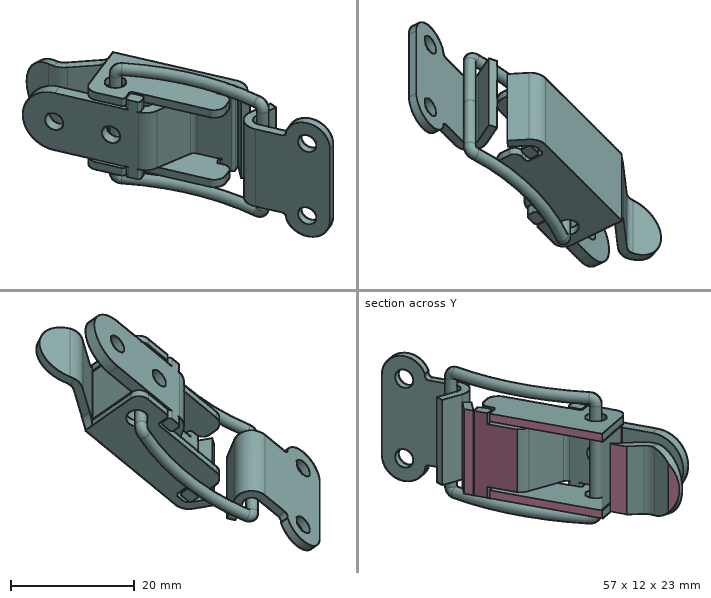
import cadquery as cq
import math


overall_length = 57.0
overall_height = 12.0
latch_width = 15.0
screw_hole_diameter = 3.2
past_everything = 2 * overall_length

lever_sheet = 1.5
lever_bend_radius = 1.5
channel_start = 13.95
channel_end = 36.9
channel_inner_width = latch_width - 2 * lever_sheet
flange_corner_radius = 2.0
flange_tip_radius = 1.5
flange_relief_radius = 0.5
flange_lower_edge = 2.45
pivot_step_x = 21.0
slot_start = 34.05
slot_bottom = 7.3
lip_bend_start = 35.55
lip_bend_angle = 60
lip_length = 3.55
end_wall_recess = 0.05
end_wall_thickness = 0.1
bail_hole_diameter = 3.5
bail_hole_x = 17.7
bail_hole_y = 4.05
handle_bend_start = 14.4
handle_drop_angle = 30
handle_drop_length = 6.55
grip_rise_angle = 25
grip_bend_radius = 2.0

base_sheet = 2.0
base_bend_radius = 1.0
base_start = 3.15
base_width = 11.1
base_hole_xs = (8.65, 18.65)
strap_bend_start = 23.35
strap_bend_angle = 60
strap_rise = 8.0
tab_length = 2.55
tab_corner_radius = 0.5
lower_tab_start = 21.15
upper_tab_start = 34.3

keeper_sheet = 1.5
keeper_bend_radius = 1.5
keeper_bend_angle = 120
hook_length = 4.0
keeper_bend_end = 43.9
ear_radius = 4.0
ear_spacing = 14.0
ear_neck_radius = 0.7
ear_neck_x = 49.3
ear_x = overall_length - ear_radius

wire_diameter = 2.0
bail_width = 23.0
bail_elbow_radius = 1.0
bail_lever_end = (18.0, 3.5)
bail_keeper_end = (44.0, 2.95)
bail_end_tilt = 17


def sine(degrees):
    return math.sin(math.radians(degrees))


def cosine(degrees):
    return math.cos(math.radians(degrees))


def rotate_about(point, centre, degrees):
    dx = point[0] - centre[0]
    dy = point[1] - centre[1]
    return (
        centre[0] + dx * cosine(degrees) - dy * sine(degrees),
        centre[1] + dx * sine(degrees) + dy * cosine(degrees),
    )


def bent_strip(start, heading, steps, sheet, width):
    """Folded sheet strip, extruded evenly about Z = 0.

    start is on the right-hand face. A step is (length,) for a straight run or
    (angle, inside radius) for a bend, with left turns positive.
    """
    right = start
    left = (start[0] - sheet * sine(heading), start[1] + sheet * cosine(heading))
    outline = cq.Workplane("XY").moveTo(*right)
    way_back = []
    for step in steps:
        if len(step) == 1:
            dx = step[0] * cosine(heading)
            dy = step[0] * sine(heading)
            way_back.append((left, None))
            right = (right[0] + dx, right[1] + dy)
            left = (left[0] + dx, left[1] + dy)
            outline = outline.lineTo(*right)
            continue
        angle, radius = step
        inside, side = (left, 1) if angle > 0 else (right, -1)
        centre = (
            inside[0] - side * radius * sine(heading),
            inside[1] + side * radius * cosine(heading),
        )
        way_back.append((left, rotate_about(left, centre, angle / 2)))
        outline = outline.threePointArc(
            rotate_about(right, centre, angle / 2), rotate_about(right, centre, angle)
        )
        right = rotate_about(right, centre, angle)
        left = rotate_about(left, centre, angle)
        heading += angle
    outline = outline.lineTo(*left)
    for point, arc_middle in reversed(way_back):
        if arc_middle is None:
            outline = outline.lineTo(*point)
        else:
            outline = outline.threePointArc(arc_middle, point)
    return outline.close().extrude(width / 2, both=True)


def rounded_polygon(corners):
    """Closed XY outline from (x, y, radius) corners; the first corner is sharp."""
    outline = cq.Workplane("XY").moveTo(*corners[0][:2])
    for index in range(1, len(corners)):
        x, y, radius = corners[index]
        if radius == 0:
            outline = outline.lineTo(x, y)
            continue
        before = cq.Vector(*corners[index - 1][:2])
        after = cq.Vector(*corners[(index + 1) % len(corners)][:2])
        corner = cq.Vector(x, y)
        to_before = (before - corner).normalized()
        to_after = (after - corner).normalized()
        half_angle = to_before.getAngle(to_after) / 2
        setback = radius / math.tan(half_angle)
        bisector = (to_before + to_after).normalized()
        arc_middle = corner + bisector * (radius / math.sin(half_angle) - radius)
        arc_start = corner + to_before * setback
        arc_end = corner + to_after * setback
        outline = outline.lineTo(arc_start.x, arc_start.y)
        outline = outline.threePointArc((arc_middle.x, arc_middle.y), (arc_end.x, arc_end.y))
    return outline.close()


def drill(body, x, z, diameter):
    """Through hole along Y."""
    hole = cq.Workplane("XZ").center(x, z).circle(diameter / 2).extrude(past_everything, both=True)
    return body.cut(hole)


def lever_web():
    steps = [(lip_bend_start - channel_start,), (-lip_bend_angle, lever_bend_radius), (lip_length,)]
    start = (channel_start, overall_height - lever_sheet)
    return bent_strip(start, 0, steps, lever_sheet, latch_width)


def lever_flanges():
    web_inside = overall_height - lever_sheet
    corners = [
        (channel_start, overall_height, 0),
        (channel_start, 0, flange_corner_radius),
        (pivot_step_x, 0, flange_relief_radius),
        (pivot_step_x, flange_lower_edge, flange_relief_radius),
        (channel_end, flange_lower_edge, flange_corner_radius),
        (channel_end, slot_bottom, flange_tip_radius),
        (slot_start, slot_bottom, flange_relief_radius),
        (slot_start, web_inside, flange_relief_radius),
        (lip_bend_start, web_inside, 0),
        (lip_bend_start, overall_height, 0),
    ]
    block = rounded_polygon(corners).extrude(latch_width / 2, both=True)
    bail_hole = cq.Workplane("XY").center(bail_hole_x, bail_hole_y).circle(bail_hole_diameter / 2)
    block = block.cut(bail_hole.extrude(latch_width, both=True))
    inside = cq.Workplane("XY").box(past_everything, past_everything, channel_inner_width)
    return block.cut(inside)


def lever_end_wall():
    """Thin wall between the flanges, set just inside the handle end of the channel.

    It reaches from the web down to the top of the base plate.
    """
    wall_top = overall_height - lever_sheet
    wall = cq.Workplane("XY").box(
        end_wall_thickness, wall_top - base_sheet, channel_inner_width, centered=(False, False, True)
    )
    return wall.translate((channel_start + end_wall_recess, base_sheet, 0))


def lever_handle():
    drop_outer_radius = lever_bend_radius + lever_sheet
    grip_outer_radius = grip_bend_radius + lever_sheet
    grip_bend_angle = handle_drop_angle + grip_rise_angle
    grip_start_x = (
        handle_bend_start
        - lever_bend_radius * sine(handle_drop_angle)
        - handle_drop_length * cosine(handle_drop_angle)
        - grip_outer_radius * (sine(handle_drop_angle) + sine(grip_rise_angle))
    )
    grip_length = grip_start_x / cosine(grip_rise_angle)
    steps = [
        (handle_drop_angle, lever_bend_radius),
        (handle_drop_length,),
        (-grip_bend_angle, grip_bend_radius),
        (grip_length,),
    ]
    handle = bent_strip((handle_bend_start, overall_height), 180, steps, lever_sheet, latch_width)

    half_wide = latch_width / 2
    half_narrow = channel_inner_width / 2
    neck_radius = half_wide - half_narrow
    neck_x = channel_start - neck_radius
    bulge = neck_radius * sine(45)
    neck = (
        cq.Workplane("XZ")
        .moveTo(-overall_length, -half_narrow)
        .lineTo(neck_x, -half_narrow)
        .threePointArc((neck_x + bulge, -half_wide + bulge), (channel_start, -half_wide))
        .lineTo(overall_length, -half_wide)
        .lineTo(overall_length, half_wide)
        .lineTo(channel_start, half_wide)
        .threePointArc((neck_x + bulge, half_wide - bulge), (neck_x, half_narrow))
        .lineTo(-overall_length, half_narrow)
        .close()
        .extrude(past_everything, both=True)
    )

    tip_y = (
        overall_height
        - drop_outer_radius
        + lever_bend_radius * cosine(handle_drop_angle)
        - handle_drop_length * sine(handle_drop_angle)
        + grip_outer_radius * (cosine(handle_drop_angle) - cosine(grip_rise_angle))
        + grip_length * sine(grip_rise_angle)
    )
    grip_plane = cq.Plane(
        origin=(0, tip_y, 0),
        xDir=(cosine(grip_rise_angle), -sine(grip_rise_angle), 0),
        normal=(sine(grip_rise_angle), cosine(grip_rise_angle), 0),
    )
    tip = (
        cq.Workplane(grip_plane)
        .moveTo(half_narrow, -half_narrow)
        .threePointArc((0, 0), (half_narrow, half_narrow))
        .lineTo(half_narrow, latch_width)
        .lineTo(overall_length, latch_width)
        .lineTo(overall_length, -latch_width)
        .lineTo(half_narrow, -latch_width)
        .close()
        .extrude(past_everything, both=True)
    )
    return handle.intersect(neck).intersect(tip)


def make_lever():
    channel = lever_web().union(lever_flanges()).union(lever_end_wall())
    return channel.union(lever_handle())


def side_tab(start_x, bottom_y):
    """Bar with rounded corners that crosses the strap and stands out on both sides."""
    bar = cq.Workplane("XY").box(tab_length, base_sheet, latch_width).edges("|Z").fillet(tab_corner_radius)
    return bar.translate((start_x + tab_length / 2, bottom_y + base_sheet / 2, 0))


def make_base():
    end_radius = base_width / 2
    round_centre = base_start + end_radius
    both_radii = 2 * base_bend_radius + base_sheet
    slope_rise = strap_rise - both_radii * (1 - cosine(strap_bend_angle))
    slope_length = slope_rise / sine(strap_bend_angle)
    upper_start = (
        strap_bend_start + both_radii * sine(strap_bend_angle) + slope_length * cosine(strap_bend_angle)
    )
    upper_end = upper_tab_start + tab_length - tab_corner_radius
    steps = [
        (strap_bend_start - round_centre,),
        (strap_bend_angle, base_bend_radius),
        (slope_length,),
        (-strap_bend_angle, base_bend_radius),
        (upper_end - upper_start,),
    ]
    base = bent_strip((round_centre, 0), 0, steps, base_sheet, base_width)
    round_end = cq.Workplane("XZ").center(round_centre, 0).circle(end_radius).extrude(-base_sheet)
    base = base.union(round_end)
    for start_x, bottom_y in ((lower_tab_start, 0), (upper_tab_start, strap_rise)):
        base = base.union(side_tab(start_x, bottom_y))
    for x in base_hole_xs:
        base = drill(base, x, 0, screw_hole_diameter)
    return base


def keeper_plate():
    edge_z = latch_width / 2
    ear_z = ear_spacing / 2
    neck_start_x = ear_neck_x - ear_neck_radius
    neck_bulge = ear_neck_radius * sine(45)
    ear_foot_z = ear_z + math.sqrt(ear_radius**2 - (ear_x - ear_neck_x) ** 2)
    half = (
        cq.Workplane("XZ")
        .moveTo(keeper_bend_end, 0)
        .lineTo(keeper_bend_end, edge_z)
        .lineTo(neck_start_x, edge_z)
        .threePointArc(
            (neck_start_x + neck_bulge, edge_z + ear_neck_radius - neck_bulge),
            (ear_neck_x, edge_z + ear_neck_radius),
        )
        .lineTo(ear_neck_x, ear_foot_z)
        .threePointArc((ear_x, ear_z + ear_radius), (overall_length, ear_z))
        .lineTo(overall_length, 0)
        .close()
        .extrude(-keeper_sheet)
    )
    return half.union(half.mirror("XY"))


def make_keeper():
    steps = [(-keeper_bend_angle, keeper_bend_radius), (hook_length,)]
    hook = bent_strip((keeper_bend_end, keeper_sheet), 180, steps, keeper_sheet, latch_width)
    keeper = keeper_plate().union(hook)
    for side in (-1, 1):
        keeper = drill(keeper, ear_x, side * ear_spacing / 2, screw_hole_diameter)
    return keeper


def make_bail():
    side_z = bail_width / 2 - wire_diameter / 2
    elbow_z = side_z - bail_elbow_radius
    lever_leg = cq.Vector(*bail_lever_end, 0)
    keeper_leg = cq.Vector(*bail_keeper_end, 0)
    up_z = cq.Vector(0, 0, 1)
    chord = keeper_leg - lever_leg
    along = chord.normalized()
    outward = up_z.cross(along)
    run = along * cosine(bail_end_tilt)
    climb = outward * sine(bail_end_tilt)
    from_lever = run + climb
    from_keeper = climb - run

    bow_chord = chord.Length - 2 * bail_elbow_radius * cosine(bail_end_tilt)
    bow_height = bail_elbow_radius * sine(bail_end_tilt) + bow_chord / 2 * math.tan(
        math.radians(bail_end_tilt / 2)
    )
    bow_top = (lever_leg + keeper_leg) * 0.5 + outward * bow_height + up_z * side_z

    def elbow_points(leg, direction):
        elbow_start = leg + up_z * elbow_z
        middle = (
            elbow_start
            + direction * (bail_elbow_radius * (1 - cosine(45)))
            + up_z * (bail_elbow_radius * sine(45))
        )
        elbow_end = leg + direction * bail_elbow_radius + up_z * side_z
        return elbow_start, middle, elbow_end

    lever_elbow = elbow_points(lever_leg, from_lever)
    keeper_elbow = elbow_points(keeper_leg, from_keeper)
    path = cq.Wire.assembleEdges(
        [
            cq.Edge.makeLine(lever_leg, lever_elbow[0]),
            cq.Edge.makeThreePointArc(*lever_elbow),
            cq.Edge.makeThreePointArc(lever_elbow[2], bow_top, keeper_elbow[2]),
            cq.Edge.makeThreePointArc(*reversed(keeper_elbow)),
            cq.Edge.makeLine(keeper_elbow[0], keeper_leg),
        ]
    )
    half = cq.Workplane("XY").center(*bail_lever_end).circle(wire_diameter / 2).sweep(cq.Workplane(path))
    return half.union(half.mirror("XY"))


lever = make_lever().solids()
base = make_base().solids()
keeper = make_keeper().solids()
bail = make_bail().solids()

result = cq.Compound.makeCompound([lever.val(), base.val(), keeper.val(), bail.val()])